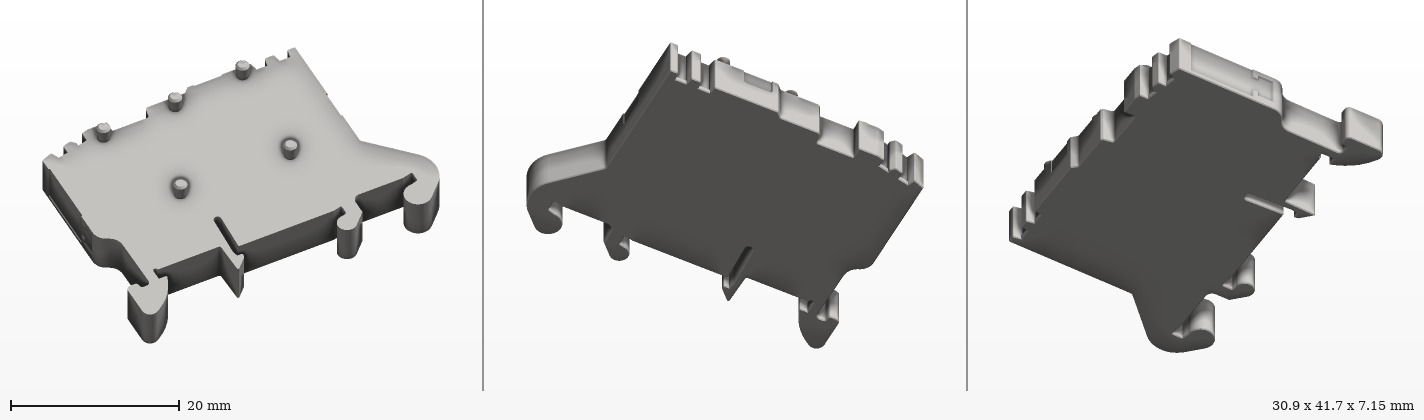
import cadquery as cq
import math

LENGTH = 41.7
TOTAL_HEIGHT = 7.15
BODY_HEIGHT = 5.15
BOTTOM_CHAMFER = 0.13

TOP_EDGE = 35.5
BOTTOM_EDGE = 0.55
LEFT_EDGE = 0.0
LEFT_STEP = 0.7
RIGHT_EDGE = 24.7
RAIL_EDGE = 25.7
EDGE_ROUND = 0.15

DIAGONAL = math.sqrt(0.5)
SHOULDER_RADIUS = 3.65
SHOULDER_X = RIGHT_EDGE
SHOULDER_PEAK = LENGTH - SHOULDER_RADIUS + SHOULDER_RADIUS / DIAGONAL
FLANK_FOOT_X = SHOULDER_X - (SHOULDER_PEAK - TOP_EDGE)
TIP_RADIUS = 1.7
TIP_X = 27.75
TIP_Y = SHOULDER_PEAK - (TIP_X - SHOULDER_X) - TIP_RADIUS / DIAGONAL
HOOK_ROOF = 38.65

SMALL_TIP_RADIUS = 1.2
SMALL_TIP_X = 28.1
SMALL_TIP_Y = 28.1
SMALL_HOOK_TOP = 30.5
SMALL_HOOK_ROOF = 28.72
SMALL_FLANK_X = SMALL_TIP_X + SMALL_TIP_RADIUS / DIAGONAL - (SMALL_HOOK_TOP - SMALL_TIP_Y)

FOOT_ARM_BOTTOM = 2.8
FOOT_HEEL_X = 25.5
FOOT_NOTCH_X = 26.4
FOOT_BACK_X = 26.05
STEP_RADIUS = 1.85

SLOT_LEDGE_HEIGHT = 0.55
SLOT_LEDGE_WIDTH = 0.15
UPPER_SLOT_FLOOR = 1.0
SLOT_FLOORS = [
    ((UPPER_SLOT_FLOOR, 34.3), (UPPER_SLOT_FLOOR, 32.9)),
    ((UPPER_SLOT_FLOOR, 31.25), (UPPER_SLOT_FLOOR, 29.8)),
    ((2.05, 6.7), (2.38, 5.4)),
    ((2.8, 3.8), (3.1, 2.4)),
]

RECESS_DEPTH = 0.15
RECESS_FLOOR = 3.05
RECESS_ROUND = 0.35
LEFT_RECESS = (22.0, 25.75)
TOP_RECESS = (8.42, 12.35)
PANEL_LEFT = 4.35
PANEL_RIGHT = 12.92
PANEL_FLOOR = 0.55
NECK_END = 13.5
HEAD_END = 15.68
KEY_MIDDLE = 2.85
NECK_HALF = 1.1
HEAD_HALF = 1.7
KEY_DRAFT = 45

PIN_FOOT_RADIUS = 0.75
PIN_COLLAR_RADIUS = 0.85
PIN_TOP_RADIUS = 0.6
PIN_TIP_HEIGHT = 0.25
PIN_ROOT = BODY_HEIGHT / 2
PIN_CENTRES = [(1.3, 27.9), (15.35, 27.05), (2.25, 18.43), (15.1, 12.6), (2.8, 8.65)]


def rounded_outline(corners):
    """Closed wire through (x, y, radius) corners, each rounded by its radius."""
    wire = None
    for i, (x, y, radius) in enumerate(corners):
        before = cq.Vector(*corners[i - 1][:2])
        after = cq.Vector(*corners[(i + 1) % len(corners)][:2])
        corner = cq.Vector(x, y)
        to_before = (before - corner).normalized()
        to_after = (after - corner).normalized()
        half_angle = to_before.getAngle(to_after) / 2
        setback = radius / math.tan(half_angle)
        start = corner + to_before * setback
        wire = wire.lineTo(start.x, start.y) if wire else cq.Workplane("XY").moveTo(start.x, start.y)
        if radius > 0:
            bisector = (to_before + to_after).normalized()
            middle = corner + bisector * (radius / math.sin(half_angle) - radius)
            end = corner + to_after * setback
            wire = wire.threePointArc((middle.x, middle.y), (end.x, end.y))
    return wire.close()


def slot_corners(index):
    """Sharp corners of one slot floor, lower end first."""
    return [(x, y, 0) for x, y in reversed(SLOT_FLOORS[index])]


left_side = [
    (2.7, BOTTOM_EDGE, EDGE_ROUND),
    (2.15, 2.0, EDGE_ROUND),
    *slot_corners(3),
    (1.8, 3.8, EDGE_ROUND),
    (1.5, 4.85, EDGE_ROUND),
    (2.05, 5.4, EDGE_ROUND),
    *slot_corners(2),
    (0.95, 6.7, 0),
    (LEFT_STEP, 7.6, 0),
    (LEFT_STEP, 10.17, EDGE_ROUND),
    (2.25, 10.1, EDGE_ROUND),
    (2.25, 14.95, 0.35),
    (0.95, 15.2, EDGE_ROUND),
    (LEFT_STEP, 15.45, 0),
    (LEFT_STEP, 20.55, 0.4),
    (LEFT_EDGE, 21.2, EDGE_ROUND),
    (LEFT_EDGE, 29.6, EDGE_ROUND),
    *slot_corners(1),
    (LEFT_EDGE, 31.48, EDGE_ROUND),
    (LEFT_EDGE, 32.7, EDGE_ROUND),
    *slot_corners(0),
    (LEFT_EDGE, 34.5, EDGE_ROUND),
    (LEFT_EDGE, TOP_EDGE, EDGE_ROUND),
]
upper_hook = [
    (FLANK_FOOT_X, TOP_EDGE, 0.63),
    (SHOULDER_X, SHOULDER_PEAK, SHOULDER_RADIUS),
    (TIP_X + TIP_RADIUS * DIAGONAL, TIP_Y + TIP_RADIUS * DIAGONAL, 0),
    (TIP_X, TIP_Y, 0),
    (TIP_X - TIP_RADIUS, TIP_Y, 0),
    (25.75, HOOK_ROOF, EDGE_ROUND),
    (24.35, HOOK_ROOF, EDGE_ROUND),
    (RIGHT_EDGE, 37.27, 0),
]
small_hook = [
    (RIGHT_EDGE, SMALL_HOOK_TOP, 0.9),
    (SMALL_FLANK_X, SMALL_HOOK_TOP, 0),
    (SMALL_TIP_X + SMALL_TIP_RADIUS * DIAGONAL, SMALL_TIP_Y + SMALL_TIP_RADIUS * DIAGONAL, 0),
    (SMALL_TIP_X, SMALL_TIP_Y, 0),
    (SMALL_TIP_X - SMALL_TIP_RADIUS, SMALL_TIP_Y, 0),
    (26.72, SMALL_HOOK_ROOF, EDGE_ROUND),
    (25.4, SMALL_HOOK_ROOF, EDGE_ROUND),
    (RAIL_EDGE, 27.6, 0),
]
latch = [
    (RAIL_EDGE, 14.93, EDGE_ROUND),
    (20.2, 15.18, 0.45),
    (20.2, 14.2, 0.45),
    (26.1, 13.92, 0),
    (26.95, 14.1, 0),
    (26.95, 14.85, EDGE_ROUND),
    (27.5, 14.75, 0.4),
    (29.15, 13.15, EDGE_ROUND),
    (RIGHT_EDGE, 13.0, 0.25),
]
foot = [
    (RIGHT_EDGE, 4.7, 0),
    (24.4, 4.6, EDGE_ROUND),
    (24.4, 4.13, EDGE_ROUND),
    (FOOT_BACK_X, 4.13, 0),
    (FOOT_BACK_X, 5.25, EDGE_ROUND),
    (29.15, 4.0, 7.5),
    (31.73, 0, 1.05),
    (FOOT_HEEL_X, 0, 0.63),
    (FOOT_HEEL_X, 1.45, 0.35),
    (FOOT_NOTCH_X, 1.65, 0.3),
    (FOOT_NOTCH_X, 2.88, 0.55),
    (18.0, FOOT_ARM_BOTTOM, STEP_RADIUS),
    (17.05, BOTTOM_EDGE, STEP_RADIUS),
]


def make_body():
    body = rounded_outline(left_side + upper_hook + small_hook + latch + foot).extrude(BODY_HEIGHT)
    tips = [(TIP_X, TIP_Y, TIP_RADIUS), (SMALL_TIP_X, SMALL_TIP_Y, SMALL_TIP_RADIUS)]
    for x, y, radius in tips:
        body = body.union(cq.Workplane("XY").center(x, y).circle(radius).extrude(BODY_HEIGHT))
    return body.clean().faces("<Z").chamfer(BOTTOM_CHAMFER)


def slot_deepening(floor):
    """Strip that deepens a marking slot above its ledge."""
    (top_x, top_y), (low_x, low_y) = floor
    return (
        cq.Workplane("XY", origin=(0, 0, SLOT_LEDGE_HEIGHT))
        .polyline([
            (top_x, top_y),
            (low_x, low_y),
            (low_x + SLOT_LEDGE_WIDTH, low_y),
            (top_x + SLOT_LEDGE_WIDTH, top_y),
        ])
        .close()
        .extrude(BODY_HEIGHT)
    )


def recess_block(size_x, size_y, rounded_edges):
    block = cq.Workplane("XY").box(size_x, size_y, BODY_HEIGHT, centered=False)
    return block.edges(rounded_edges).fillet(RECESS_ROUND)


def left_recess():
    start, end = LEFT_RECESS
    return recess_block(RECESS_DEPTH, end - start, "|X").translate((LEFT_EDGE, start, RECESS_FLOOR))


def top_recess():
    start, end = TOP_RECESS
    block = recess_block(end - start, RECESS_DEPTH, "|Y")
    return block.translate((start, TOP_EDGE - RECESS_DEPTH, RECESS_FLOOR))


def key_recess():
    """Panel with a T-shaped extension whose walls slope, sunk into the lower side."""
    above = 2 * BODY_HEIGHT
    upper = [
        (0, above),
        (PANEL_RIGHT, above),
        (PANEL_RIGHT, KEY_MIDDLE + NECK_HALF),
        (NECK_END, KEY_MIDDLE + NECK_HALF),
        (NECK_END, KEY_MIDDLE + HEAD_HALF),
        (HEAD_END, KEY_MIDDLE + HEAD_HALF),
    ]
    lower = [(x, 2 * KEY_MIDDLE - z) for x, z in reversed(upper)]
    key = (
        cq.Workplane("XZ", origin=(0, BOTTOM_EDGE, 0))
        .polyline(upper + lower)
        .close()
        .extrude(-RECESS_DEPTH, taper=KEY_DRAFT)
    )
    limits = cq.Workplane("XY", origin=(PANEL_LEFT, 0, PANEL_FLOOR)).box(
        HEAD_END - PANEL_LEFT, TOP_EDGE, BODY_HEIGHT, centered=False
    )
    return key.intersect(limits)


def pin():
    collar = TOTAL_HEIGHT - PIN_TIP_HEIGHT
    return (
        cq.Workplane("XZ")
        .polyline([
            (0, PIN_ROOT),
            (PIN_FOOT_RADIUS, PIN_ROOT),
            (PIN_FOOT_RADIUS, BODY_HEIGHT),
            (PIN_COLLAR_RADIUS, collar),
            (PIN_TOP_RADIUS, TOTAL_HEIGHT),
            (0, TOTAL_HEIGHT),
        ])
        .close()
        .revolve(360, (0, 0, 0), (0, 1, 0))
    )


result = make_body()
for slot_floor in SLOT_FLOORS:
    result = result.cut(slot_deepening(slot_floor))
for recess in (left_recess(), top_recess(), key_recess()):
    result = result.cut(recess)
for pin_x, pin_y in PIN_CENTRES:
    result = result.union(pin().translate((pin_x, pin_y, 0)))